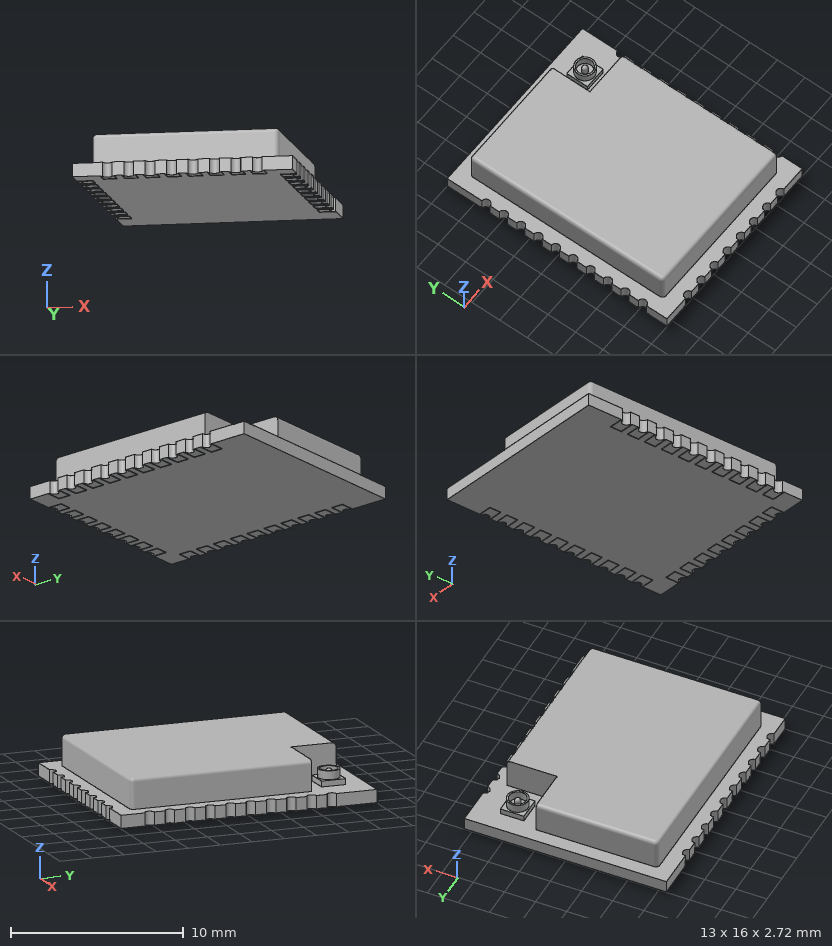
import cadquery as cq

BOARD_X = 13.0
BOARD_Y = 16.0
BOARD_THICKNESS = 0.8
TOTAL_HEIGHT = 2.72

PAD_PITCH = 1.26
PAD_WIDTH = 0.8
PAD_LENGTH = 0.96
PAD_THICKNESS = 0.03
CASTELLATION_RADIUS = 0.29
SIDE_PAD_COUNT = 10
SIDE_PAD_FIRST_Y = 5.17
FRONT_PAD_COUNT = 8

LID_X = 11.04
LID_BACK_Y = 7.1
LID_FRONT_Y = -7.0
LID_EDGE_RADIUS = 0.25
OPENING_LEFT_X = 2.3
OPENING_FRONT_Y = 4.29

CONNECTOR_X = 4.03
CONNECTOR_Y = 5.95
CONNECTOR_BASE_SIZE = 1.5
CONNECTOR_BASE_HEIGHT = 0.35
CONNECTOR_HEIGHT = 0.88
COLLAR_OUTER_RADIUS = 0.65
COLLAR_INNER_RADIUS = 0.55
PIN_RADIUS = 0.2

BOARD_BOTTOM = PAD_THICKNESS
BOARD_TOP = BOARD_BOTTOM + BOARD_THICKNESS
LID_HEIGHT = TOTAL_HEIGHT - BOARD_TOP


def block(x_min, x_max, y_min, y_max, z_min, height):
    """Rectangular block given by its plan limits, base level and height."""
    return (
        cq.Workplane("XY", origin=(0, 0, z_min))
        .moveTo(x_min, y_min)
        .lineTo(x_max, y_min)
        .lineTo(x_max, y_max)
        .lineTo(x_min, y_max)
        .close()
        .extrude(height)
    )


def cylinder(x, y, z_min, radius, height):
    """Upright cylinder."""
    return cq.Workplane("XY", origin=(x, y, z_min)).circle(radius).extrude(height)


def edge_points():
    """Pad centres on the left, right and front board edges."""
    points = []
    for i in range(SIDE_PAD_COUNT):
        y = SIDE_PAD_FIRST_Y - i * PAD_PITCH
        points.append((-BOARD_X / 2, y))
        points.append((BOARD_X / 2, y))
    for i in range(FRONT_PAD_COUNT):
        x = (i - (FRONT_PAD_COUNT - 1) / 2) * PAD_PITCH
        points.append((x, -BOARD_Y / 2))
    return points


def solder_pad(x, y):
    """Thin pad under the board, reaching inward from its edge point."""
    if abs(x) == BOARD_X / 2:
        inner_x = x - PAD_LENGTH if x > 0 else x + PAD_LENGTH
        x_min, x_max = sorted((x, inner_x))
        y_min, y_max = y - PAD_WIDTH / 2, y + PAD_WIDTH / 2
    else:
        x_min, x_max = x - PAD_WIDTH / 2, x + PAD_WIDTH / 2
        y_min, y_max = y, y + PAD_LENGTH
    return block(x_min, x_max, y_min, y_max, 0, PAD_THICKNESS)


def make_board():
    """Board with solder pads and a half-round castellation through each pad."""
    board = block(-BOARD_X / 2, BOARD_X / 2, -BOARD_Y / 2, BOARD_Y / 2, BOARD_BOTTOM, BOARD_THICKNESS)
    for x, y in edge_points():
        board = board.union(solder_pad(x, y))
        board = board.cut(cylinder(x, y, 0, CASTELLATION_RADIUS, BOARD_TOP))
    return board


def make_lid():
    """Rounded lid whose open corner has plain, sharp walls."""
    lid = block(-LID_X / 2, LID_X / 2, LID_FRONT_Y, LID_BACK_Y, BOARD_TOP, LID_HEIGHT)
    lid = lid.edges("|Z or >Z").fillet(LID_EDGE_RADIUS)
    opening = block(OPENING_LEFT_X, LID_X / 2, OPENING_FRONT_Y, LID_BACK_Y, BOARD_TOP, LID_HEIGHT)
    return lid.cut(opening)


def make_connector():
    """Square base carrying a hollow collar and a pin with a hemispherical tip."""
    half = CONNECTOR_BASE_SIZE / 2
    base = block(
        CONNECTOR_X - half,
        CONNECTOR_X + half,
        CONNECTOR_Y - half,
        CONNECTOR_Y + half,
        BOARD_TOP,
        CONNECTOR_BASE_HEIGHT,
    )
    base_top = BOARD_TOP + CONNECTOR_BASE_HEIGHT
    collar_height = CONNECTOR_HEIGHT - CONNECTOR_BASE_HEIGHT
    collar = cylinder(CONNECTOR_X, CONNECTOR_Y, base_top, COLLAR_OUTER_RADIUS, collar_height)
    bore = cylinder(CONNECTOR_X, CONNECTOR_Y, base_top, COLLAR_INNER_RADIUS, collar_height)
    shank_height = collar_height - PIN_RADIUS
    pin = cylinder(CONNECTOR_X, CONNECTOR_Y, base_top, PIN_RADIUS, shank_height)
    tip_center = (CONNECTOR_X, CONNECTOR_Y, base_top + shank_height)
    tip = cq.Workplane("XY", origin=tip_center).sphere(PIN_RADIUS)
    return base.union(collar.cut(bore)).union(pin).union(tip)


result = make_board().union(make_lid()).union(make_connector())